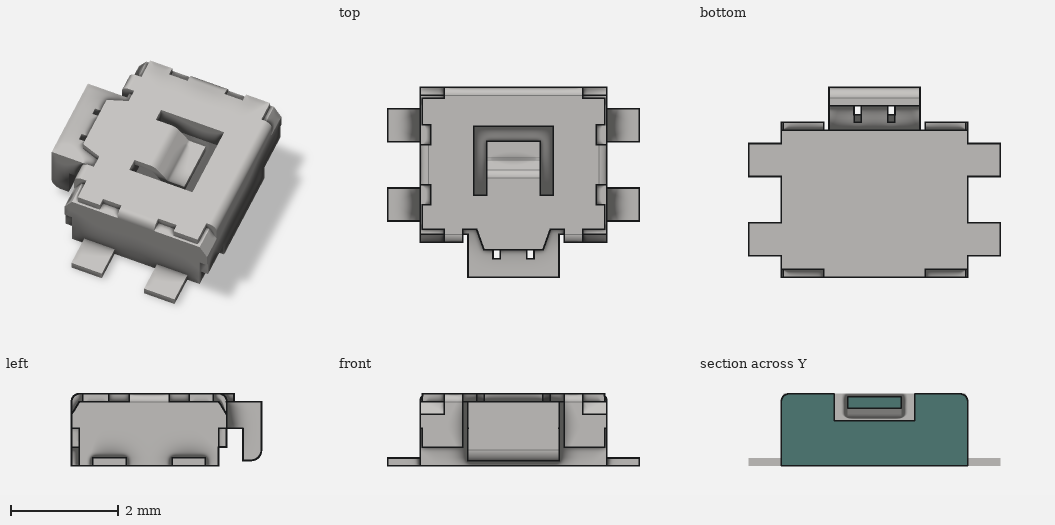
import cadquery as cq
import math

body_half_x = 1.745
body_half_y = 1.3
body_top = 1.2
sheet = 0.15
cover_top = body_top + sheet
bend_offset = sheet * math.sqrt(0.5)
outer_half_y = body_half_y + sheet

block_inner_x = 1.29
block_bottom = 0.7
block_slope_drop = 0.24

cover_half_x = 1.7
cover_back_y = 1.24
cover_front_y = -1.2
side_notch_x = 1.55
side_notch_half_y = 0.75
side_tab_half_y = 0.375
flange_bottom = 0.35
front_leg_inner_x = 0.945

lip_base_half_x = 0.69
lip_tip_half_x = 0.55
lip_tip_y = -1.59

window_half_x = 0.745
window_back_y = 0.72
window_front_y = -0.565
pocket_floor = 0.85

spring_half_x = 0.5
spring_end_y = 0.445
spring_bend_y = -0.245
spring_drop = 0.3
spring_inner_radius = 0.05
spring_angle = math.radians(48)

plunger_half_x = 0.85
plunger_front_y = -2.1
plunger_bottom = 0.7
hook_back_y = -1.75
hook_bottom = 0.1
hook_radius = 0.2
slot_inner_x = 0.25
slot_outer_x = 0.38

terminal_tip_x = 2.35
terminal_width = 0.62
terminal_y = 0.74


def box(x0, x1, y0, y1, z0, z1):
    """Axis-aligned box between two opposite corners."""
    return cq.Workplane("XY").box(x1 - x0, y1 - y0, z1 - z0, centered=False).translate((x0, y0, z0))


def extrude_along_x(profile, x0, x1):
    """Solid from a closed YZ profile, spanning x0 to x1."""
    return profile.extrude(x1 - x0).translate((x0, 0, 0))


def mirrored_in_x(solid):
    """The solid together with its mirror image across the YZ plane."""
    return solid.union(solid.mirror("YZ"))


def make_housing():
    housing = box(-body_half_x, body_half_x, -body_half_y, body_half_y, 0, body_top)
    block_profile = (
        cq.Workplane("YZ")
        .moveTo(-body_half_y, block_bottom)
        .lineTo(-outer_half_y, block_bottom)
        .lineTo(-outer_half_y, body_top - block_slope_drop)
        .lineTo(-body_half_y, body_top)
        .close()
    )
    blocks = mirrored_in_x(extrude_along_x(block_profile, block_inner_x, body_half_x))
    housing = housing.union(blocks).union(blocks.mirror("XZ"))
    pocket = box(-window_half_x, window_half_x, window_front_y, window_back_y, pocket_floor, body_top)
    return housing.cut(pocket)


def make_flange(x0, x1, plate_edge_y):
    """Front flange: runs forward from the plate edge, bends down and ends at flange_bottom."""
    profile = (
        cq.Workplane("YZ")
        .moveTo(plate_edge_y, cover_top)
        .lineTo(-body_half_y, cover_top)
        .threePointArc((-body_half_y - bend_offset, body_top + bend_offset), (-outer_half_y, body_top))
        .lineTo(-outer_half_y, flange_bottom)
        .lineTo(-body_half_y, flange_bottom)
        .lineTo(-body_half_y, body_top)
        .lineTo(plate_edge_y, body_top)
        .close()
    )
    return extrude_along_x(profile, x0, x1)


def make_front_leg():
    leg = make_flange(front_leg_inner_x, block_inner_x, cover_front_y)
    foot = box(block_inner_x, cover_half_x, -outer_half_y, -body_half_y, flange_bottom, block_bottom)
    return leg.union(foot)


def make_back_flange():
    flange = make_flange(-block_inner_x, block_inner_x, -cover_back_y).mirror("XZ")
    wide_foot = box(-cover_half_x, cover_half_x, body_half_y, outer_half_y, flange_bottom, block_bottom)
    center_foot = box(-front_leg_inner_x, front_leg_inner_x, body_half_y, outer_half_y, 0, flange_bottom)
    return flange.union(wide_foot).union(center_foot)


def make_side_tab():
    """Tab joining the plate to the side of the housing, with a rounded outer edge."""
    bend_x = body_half_x - sheet
    profile = (
        cq.Workplane("XZ")
        .moveTo(side_notch_x, body_top)
        .lineTo(body_half_x, body_top)
        .threePointArc((bend_x + bend_offset, body_top + bend_offset), (bend_x, cover_top))
        .lineTo(side_notch_x, cover_top)
        .close()
    )
    return profile.extrude(side_tab_half_y, both=True)


def make_spring():
    """Sheet strip along +Y: flat, bent down, sloping, then bent back to flat at a lower level."""
    outer_radius = spring_inner_radius + sheet
    low_top = cover_top - spring_drop
    low_bottom = low_top - sheet
    sine = math.sin(spring_angle)
    cosine = math.cos(spring_angle)

    bends_run = (outer_radius + spring_inner_radius) * sine
    bends_drop = (outer_radius + spring_inner_radius) * (1 - cosine)
    slope_run = (spring_drop - bends_drop) * cosine / sine
    low_bend_y = spring_bend_y + bends_run + slope_run

    def on_high_bend(radius, angle):
        """Point on the first bend, whose center lies below the sheet."""
        center_z = cover_top - outer_radius
        return (spring_bend_y + radius * math.sin(angle), center_z + radius * math.cos(angle))

    def on_low_bend(radius, angle):
        """Point on the second bend, whose center lies above the sheet."""
        center_z = low_top + spring_inner_radius
        return (low_bend_y - radius * math.sin(angle), center_z - radius * math.cos(angle))

    half_angle = spring_angle / 2
    profile = (
        cq.Workplane("YZ")
        .moveTo(window_front_y, cover_top)
        .lineTo(spring_bend_y, cover_top)
        .threePointArc(on_high_bend(outer_radius, half_angle), on_high_bend(outer_radius, spring_angle))
        .lineTo(*on_low_bend(spring_inner_radius, spring_angle))
        .threePointArc(on_low_bend(spring_inner_radius, half_angle), (low_bend_y, low_top))
        .lineTo(spring_end_y, low_top)
        .lineTo(spring_end_y, low_bottom)
        .lineTo(low_bend_y, low_bottom)
        .threePointArc(on_low_bend(outer_radius, half_angle), on_low_bend(outer_radius, spring_angle))
        .lineTo(*on_high_bend(spring_inner_radius, spring_angle))
        .threePointArc(on_high_bend(spring_inner_radius, half_angle), (spring_bend_y, body_top))
        .lineTo(window_front_y, body_top)
        .close()
    )
    return extrude_along_x(profile, -spring_half_x, spring_half_x)


def make_cover():
    plate = box(-cover_half_x, cover_half_x, cover_front_y, cover_back_y, body_top, cover_top)
    notch = box(side_notch_x, cover_half_x, -side_notch_half_y, side_notch_half_y, body_top, cover_top)
    window = box(-window_half_x, window_half_x, window_front_y, window_back_y, body_top, cover_top)
    lip = (
        cq.Workplane("XY", origin=(0, 0, body_top))
        .moveTo(-lip_base_half_x, cover_front_y)
        .lineTo(-lip_tip_half_x, lip_tip_y)
        .lineTo(lip_tip_half_x, lip_tip_y)
        .lineTo(lip_base_half_x, cover_front_y)
        .close()
        .extrude(sheet)
    )
    cover = plate.cut(mirrored_in_x(notch)).cut(window).union(lip)
    cover = cover.union(mirrored_in_x(make_side_tab()))
    cover = cover.union(mirrored_in_x(make_front_leg()))
    return cover.union(make_back_flange()).union(make_spring())


def make_plunger():
    bar = box(-plunger_half_x, plunger_half_x, plunger_front_y, -body_half_y, plunger_bottom, body_top)
    hook = box(-plunger_half_x, plunger_half_x, plunger_front_y, hook_back_y, hook_bottom, body_top)
    hook = hook.edges("<Y and <Z").fillet(hook_radius)
    slot = box(slot_inner_x, slot_outer_x, hook_back_y, -outer_half_y, plunger_bottom, body_top)
    return bar.union(hook).cut(mirrored_in_x(slot))


def make_terminals():
    """Two strips running across the underside; their ends stick out as four terminals."""
    terminals = cq.Workplane("XY")
    for y in (-terminal_y, terminal_y):
        front_y = y - terminal_width / 2
        back_y = y + terminal_width / 2
        strip = box(-terminal_tip_x, terminal_tip_x, front_y, back_y, 0, sheet)
        terminals.add(strip)
    return terminals.combine()


result = make_housing().union(make_plunger()).union(make_cover()).union(make_terminals())